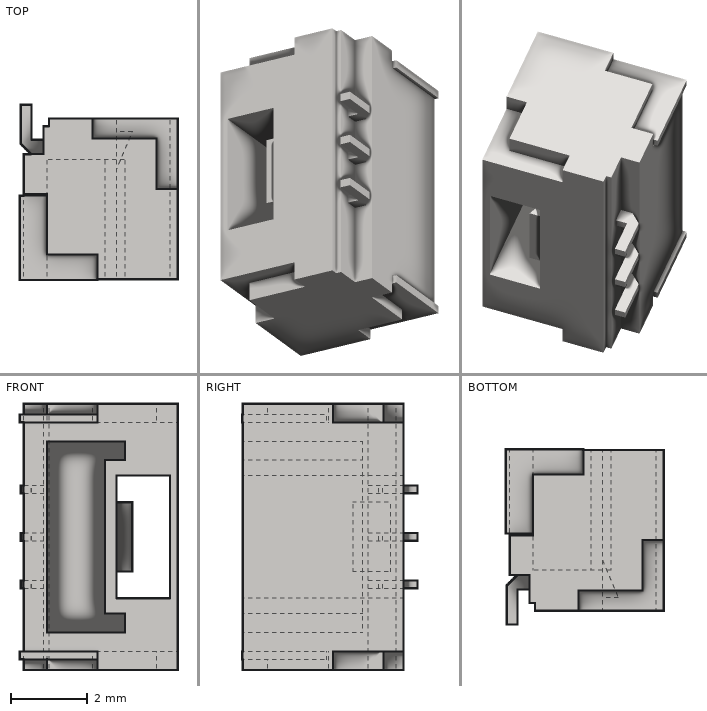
import cadquery as cq

HEIGHT = 7.0
TOP = HEIGHT / 2
BODY_LEFT = 0.105
BODY_RIGHT = 4.16
BODY_FRONT = 0.02
BODY_BACK = 4.25
REAR_LEDGE_Y = 3.31
REAR_LEDGE_X = 0.62
REAR_NOTCH_Y = 4.045
REAR_NOTCH_X = 0.77

CAVITY_LEFT = 0.715
CAVITY_RIGHT = 2.765
CAVITY_HEIGHT = 5.01
CAVITY_DEPTH = 3.15
TONGUE_LEFT = 2.25
TONGUE_HEIGHT = 4.03

WINDOW_LEFT = 2.55
WINDOW_RIGHT = 3.95
WINDOW_HEIGHT = 3.22
LATCH_REACH = 0.41
LATCH_LENGTH = 0.98
LATCH_HEIGHT = 1.82
LATCH_BACK = BODY_BACK - 0.35

PLATE_RIGHT = 2.045
PLATE_BACK = 2.22
PLATE_DEPTH = 0.29
PLATE_THICKNESS = 0.21
RECESS_DEPTH = PLATE_DEPTH + PLATE_THICKNESS
FRONT_RECESS_BACK = 2.27
FRONT_RECESS_INNER_Y = 0.67

REAR_RECESS_LEFT = 1.91
REAR_RECESS_FRONT = 2.395
REAR_RECESS_INNER_X = 3.59
REAR_RECESS_INNER_Y = 3.72

PIN_COUNT = 3
PIN_PITCH = 1.245
PIN_WIDTH = 0.21
PIN_LEFT = 0.03
PIN_RIGHT = 0.315
PIN_BACK = 4.61
PIN_BASE_BACK = 3.69
PIN_CHAMFER = 0.27
PIN_EMBED = 0.14


def prism(points, z_bottom, height):
    """Extrude an XY outline upward from z_bottom."""
    return cq.Workplane("XY", origin=(0, 0, z_bottom)).polyline(points).close().extrude(height)


def block(x_min, x_max, y_min, y_max, height):
    """Make a box centred on Z = 0."""
    corners = [(x_min, y_min), (x_max, y_min), (x_max, y_max), (x_min, y_max)]
    return prism(corners, -height / 2, height)


def at_both_ends(solid):
    """Join a solid to its mirror image about the XY plane."""
    return solid.union(solid.mirror("XY"))


def corner_outline(corner, inner, far):
    """L outline with its outer corner, inner corner and far ends of the legs."""
    return [
        corner,
        (far[0], corner[1]),
        (far[0], inner[1]),
        inner,
        (inner[0], far[1]),
        (corner[0], far[1]),
    ]


def make_housing():
    outline = [
        (BODY_LEFT, BODY_FRONT),
        (BODY_RIGHT, BODY_FRONT),
        (BODY_RIGHT, BODY_BACK),
        (REAR_NOTCH_X, BODY_BACK),
        (REAR_NOTCH_X, REAR_NOTCH_Y),
        (REAR_LEDGE_X, REAR_NOTCH_Y),
        (REAR_LEDGE_X, REAR_LEDGE_Y),
        (BODY_LEFT, REAR_LEDGE_Y),
    ]
    return prism(outline, -TOP, HEIGHT)


def make_cavity():
    back = BODY_FRONT + CAVITY_DEPTH
    pocket = block(CAVITY_LEFT, CAVITY_RIGHT, BODY_FRONT, back, CAVITY_HEIGHT)
    tongue = block(TONGUE_LEFT, CAVITY_RIGHT, BODY_FRONT, back, TONGUE_HEIGHT)
    return pocket.cut(tongue)


def make_latch():
    outline = [
        (WINDOW_LEFT, LATCH_BACK - LATCH_LENGTH),
        (WINDOW_LEFT + LATCH_REACH, LATCH_BACK),
        (WINDOW_LEFT, LATCH_BACK),
    ]
    return prism(outline, -LATCH_HEIGHT / 2, LATCH_HEIGHT)


def make_front_recesses():
    outline = corner_outline(
        (BODY_LEFT, BODY_FRONT),
        (CAVITY_LEFT, FRONT_RECESS_INNER_Y),
        (PLATE_RIGHT, FRONT_RECESS_BACK),
    )
    return at_both_ends(prism(outline, TOP - RECESS_DEPTH, RECESS_DEPTH))


def make_rear_recesses():
    outline = corner_outline(
        (BODY_RIGHT, BODY_BACK),
        (REAR_RECESS_INNER_X, REAR_RECESS_INNER_Y),
        (REAR_RECESS_LEFT, REAR_RECESS_FRONT),
    )
    return at_both_ends(prism(outline, TOP - RECESS_DEPTH, RECESS_DEPTH))


def make_plates():
    outline = corner_outline(
        (0, 0),
        (CAVITY_LEFT, FRONT_RECESS_INNER_Y),
        (PLATE_RIGHT, PLATE_BACK),
    )
    return at_both_ends(prism(outline, TOP - RECESS_DEPTH, PLATE_THICKNESS))


def make_pin(z_center):
    pin_root = REAR_LEDGE_X + PIN_EMBED
    outline = [
        (PIN_LEFT, REAR_LEDGE_Y + PIN_CHAMFER),
        (PIN_LEFT + PIN_CHAMFER, REAR_LEDGE_Y),
        (pin_root, REAR_LEDGE_Y),
        (pin_root, PIN_BASE_BACK),
        (PIN_RIGHT, PIN_BASE_BACK),
        (PIN_RIGHT, PIN_BACK),
        (PIN_LEFT, PIN_BACK),
    ]
    return prism(outline, z_center - PIN_WIDTH / 2, PIN_WIDTH)


window = block(WINDOW_LEFT, WINDOW_RIGHT, BODY_FRONT, BODY_BACK, WINDOW_HEIGHT)

result = make_housing()
for opening in (make_cavity(), window, make_front_recesses(), make_rear_recesses()):
    result = result.cut(opening)
result = result.union(make_latch()).union(make_plates())
for index in range(PIN_COUNT):
    offset_from_middle = index - (PIN_COUNT - 1) / 2
    result = result.union(make_pin(offset_from_middle * PIN_PITCH))